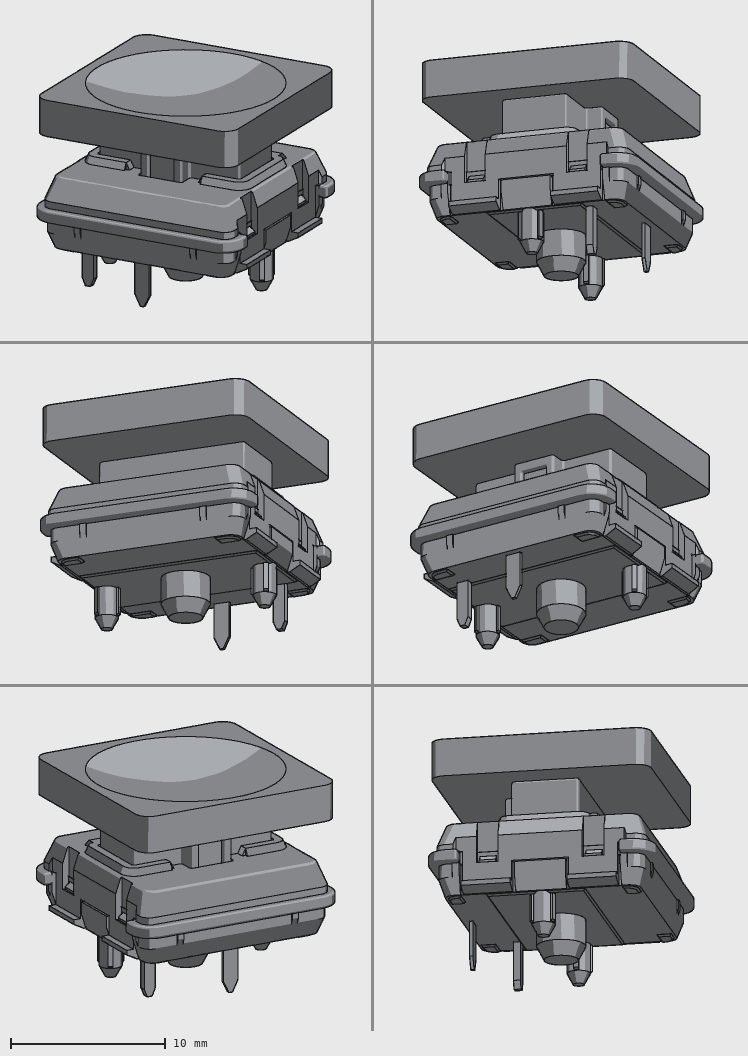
import cadquery as cq


overall = 15.0
edge_round = 0.2
gap = 0.2

flange_top = 0.81
housing_top = 2.85
collar_top = 3.33
keycap_bottom = 5.85
keycap_top = 8.34
housing_bottom = -2.02
foot_bottom = -2.16
pin_tip = -5.16

wall_half = 6.93
wall_corner = 0.75
upper_slope_start = 1.29
upper_top_half = 6.39
lower_slope_start = -0.54
lower_bottom_half = 6.45

skirt_face = 6.76
skirt_inner = 6.35
skirt_half_width = 5.13
notch_half_width = skirt_half_width + gap
skirt_arch_half = 1.88
tongue_half_width = skirt_arch_half - gap
clip_slot_near = 2.79
clip_slot_far = 4.22
clip_slot_centre = (clip_slot_near + clip_slot_far) / 2

stem_half_x = 5.16
stem_half_y = 2.25
boss_half_x = 1.52
boss_front = -3.42
stem_clearance = 0.1

pin_sizes = [
    (-4.98, -3.88, 0.82, 0.46, -4.62, 0.36),
    (0.0, -5.85, 1.06, 0.22, -4.36, 0.25),
]
pin_root = -1.35


def block(x_min, x_max, y_min, y_max, z_min, z_max):
    """Box given by its limits."""
    size = (x_max - x_min, y_max - y_min, z_max - z_min)
    return cq.Workplane("XY").box(*size, centered=False).translate((x_min, y_min, z_min))


def rounded_block(half_x, half_y, corner, z_min, z_max):
    """Upright block with rounded vertical edges, centred on the Z axis."""
    return (
        cq.Workplane("XY").workplane(offset=z_min).rect(2 * half_x, 2 * half_y)
        .extrude(z_max - z_min).edges("|Z").fillet(corner)
    )


def tapered_block(lower, upper, z_min, z_max):
    """Block between two rounded rectangles, each given as (half x, half y, corner radius)."""
    def outline(half_x, half_y, corner):
        return cq.Sketch().rect(2 * half_x, 2 * half_y).vertices().fillet(corner)

    return (
        cq.Workplane("XY").workplane(offset=z_min).placeSketch(
            outline(*lower),
            outline(*upper).moved(cq.Location(cq.Vector(0, 0, z_max - z_min))),
        ).loft()
    )


def both_x(shape):
    """The shape together with its mirror image in the YZ plane."""
    return shape.union(shape.mirror("YZ"))


def both_y(shape):
    """The shape together with its mirror image in the XZ plane."""
    return shape.union(shape.mirror("XZ"))


def make_keycap():
    half_width = 7.25
    corner = 1.0
    dish_radius = 6.5
    dish_depth = 1.2
    sphere_radius = (dish_radius ** 2 + dish_depth ** 2) / (2 * dish_depth)
    cap = rounded_block(half_width, half_width, corner, keycap_bottom, keycap_top)
    dish = cq.Workplane("XY").sphere(sphere_radius)
    return cap.cut(dish.translate((0, 0, keycap_top - dish_depth + sphere_radius)))


def stem_blank(clearance, z_min, z_max):
    """T-shaped prism of the stem, grown sideways by a clearance."""
    reach_x = stem_half_x + clearance
    reach_y = stem_half_y + clearance
    boss_x = boss_half_x + clearance
    body = block(-reach_x, reach_x, -reach_y, reach_y, z_min, z_max)
    boss = block(-boss_x, boss_x, boss_front - clearance, 0, z_min, z_max)
    return body.union(boss).edges("|Z").fillet(edge_round)


def make_stem():
    window_half = 0.9
    window_top = 5.1
    window_depth = 0.3
    window_corner = 0.06
    window_round = 0.16
    margin = 0.02
    stem = stem_blank(0, flange_top, keycap_bottom).faces(">Z").edges().fillet(edge_round)
    window = block(
        -window_half, window_half, boss_front, boss_front + window_depth, flange_top, window_top
    )
    window = window.edges("|Y and >Z").fillet(window_corner)
    mouth = cq.selectors.BoxSelector(
        (-window_half - margin, boss_front - margin, flange_top + margin),
        (window_half + margin, boss_front + margin, window_top + margin),
    )
    return stem.cut(window).edges(mouth).fillet(window_round)


def make_collar():
    """Sloped rim round the stem opening, open at the front for the boss of the stem."""
    base = (6.08, 3.2, 0.98)
    top = (5.85, 2.95, 0.75)
    opening_base_half = 2.54
    opening_top_half = 2.79
    bulge_half_x = 5.25
    bulge_base_y = 3.98
    bulge_top_y = 3.44
    rim = tapered_block(base, top, housing_top, collar_top)
    sloped_opening = (
        cq.Workplane("XZ").polyline([
            (-opening_base_half, housing_top), (opening_base_half, housing_top),
            (opening_top_half, collar_top), (-opening_top_half, collar_top),
        ]).close().extrude(base[1])
    )
    front_opening = block(
        -opening_top_half, opening_top_half, -base[1], -top[1], housing_top, collar_top
    )
    bulge = (
        cq.Workplane("YZ").polyline([
            (0, housing_top), (bulge_base_y, housing_top), (bulge_top_y, collar_top), (0, collar_top),
        ]).close().extrude(bulge_half_x, both=True)
    )
    return rim.cut(sloped_opening).cut(front_opening).union(bulge)


def make_skirt():
    """Hanging leg pair on the -X side, with the outward snap ledges at its lower end."""
    ledge_top = -1.32
    ledge_reach = 7.26
    ledge_edge = -1.64
    foot_reach = 6.52
    skirt = (
        cq.Workplane("XZ").polyline([
            (-skirt_inner, flange_top), (-skirt_face, flange_top), (-skirt_face, ledge_top),
            (-ledge_reach, ledge_top), (-ledge_reach, ledge_edge),
            (-foot_reach, housing_bottom), (-skirt_inner, housing_bottom),
        ]).close().extrude(skirt_half_width, both=True)
    )
    arch = block(-overall, 0, -skirt_arch_half, skirt_arch_half, housing_bottom, 0)
    return skirt.cut(arch)


def skirt_recess():
    """Flat recess on the -X side, in the plane of the skirt, with 45 degree ends."""
    recess_top = 1.85
    half_width = 5.56
    flare = overall / 2 - skirt_face
    return (
        cq.Workplane("XY").workplane(offset=flange_top).polyline([
            (-skirt_face, -half_width), (-skirt_face, half_width),
            (-skirt_face - flare, half_width + flare), (-skirt_face - flare, -half_width - flare),
        ]).close().extrude(recess_top - flange_top)
    )


def clip_slots():
    """Two upright slots on the -X side that become windows in the skirt."""
    slot_face = 6.32
    above = block(-overall, -slot_face, clip_slot_near, clip_slot_far, flange_top, housing_top)
    window = block(-overall, -skirt_inner, clip_slot_near, clip_slot_far, 0, flange_top)
    return both_y(above.union(window))


def make_upper_housing():
    straight = (wall_half, wall_half, wall_corner)
    top = (upper_top_half, upper_top_half, wall_corner)
    walls = rounded_block(*straight, flange_top, upper_slope_start)
    roof = tapered_block(straight, top, upper_slope_start, housing_top)
    roof = roof.faces(">Z").edges().fillet(edge_round)
    housing = walls.union(roof).cut(both_x(skirt_recess()))
    housing = housing.union(both_x(make_skirt())).cut(both_x(clip_slots()))
    housing = housing.union(make_collar())
    return housing.cut(stem_blank(stem_clearance, flange_top, collar_top))


def make_flange():
    """Rounded plate round the housing, interrupted where the skirts pass."""
    half = overall / 2
    corner = 1.5
    rim_round = 0.15
    flange = rounded_block(half, half, corner, 0, flange_top)
    passage = block(-overall, -skirt_face, -notch_half_width, notch_half_width, 0, flange_top)
    flange = flange.cut(both_x(passage))
    flange = flange.edges("|Z and (<X or >X)").fillet(edge_round)
    return flange.faces("<Z or >Z").edges().fillet(rim_round)


def panel_recess():
    """Shallow recess round the walls under the flange, leaving plain ribs and skirt borders."""
    depth = 0.12
    rib_centre = 4.25
    rib_width = 0.45
    border_half = 5.79
    slope = (wall_half - lower_bottom_half) / (lower_slope_start - housing_bottom)
    recess_bottom = lower_slope_start - depth / slope
    inner_half = wall_half - depth
    ring = block(-overall, overall, -overall, overall, recess_bottom, 0).cut(
        rounded_block(inner_half, inner_half, wall_corner, recess_bottom, 0)
    )
    rib = block(
        rib_centre - rib_width / 2, rib_centre + rib_width / 2, -overall, overall, recess_bottom, 0
    )
    border = block(-overall, overall, -border_half, border_half, recess_bottom, 0)
    return ring.cut(both_x(rib)).cut(border)


def side_notch():
    """Space on the -X side for the skirt, with the tongue of the lower housing left standing."""
    shoulder_face = 6.6
    tongue_face = 6.81
    lower = block(-overall, -skirt_inner, -notch_half_width, notch_half_width, housing_bottom, 0)
    upper = block(-overall, -skirt_inner, -skirt_half_width, skirt_half_width, 0, flange_top)
    shoulder = block(-overall, -shoulder_face, -notch_half_width, notch_half_width, 0, flange_top)
    tongue = block(
        -tongue_face, -skirt_inner, -tongue_half_width, tongue_half_width, housing_bottom, -gap / 2
    )
    return lower.union(upper).union(shoulder).cut(tongue)


def make_hooks():
    """Snap hooks on the -X side that fill the skirt windows."""
    hook_width = 1.08
    slope_top = 0.51
    slope_bottom = 0.18
    hook_foot = 0.03
    reach = skirt_inner + slope_top - slope_bottom
    hook = (
        cq.Workplane("XZ").polyline([
            (-skirt_inner, slope_top), (-reach, slope_bottom), (-reach, hook_foot), (-skirt_inner, hook_foot),
        ]).close().extrude(hook_width / 2, both=True)
    )
    return both_y(hook.translate((0, clip_slot_centre, 0)))


def make_feet():
    """Low bevelled pads under the housing: a wide middle pad and four corner pads."""
    bevel = 0.12
    middle_back = 2.88
    middle_front = -3.66
    far = 6.28
    near_x = 4.8
    near_y = notch_half_width
    middle = block(-far, far, middle_front, middle_back, foot_bottom, housing_bottom)
    corner = block(near_x, far, near_y, far, foot_bottom, housing_bottom)
    corner = corner.edges("|Z and >X and >Y").fillet(wall_corner)
    corners = both_x(both_y(corner))
    return middle.union(corners).faces("<Z").edges().chamfer(bevel)


def post(radius, x, end, tip_radius):
    """Round locating post with a conical tip."""
    tip_end = -4.86
    return (
        cq.Workplane("XZ").polyline([
            (0, housing_bottom), (radius, housing_bottom), (radius, end), (tip_radius, tip_end), (0, tip_end),
        ]).close().revolve(360, (0, 0, 0), (0, 1, 0)).translate((x, 0, 0))
    )


def make_posts():
    centre_diameter = 3.2
    centre_end = -3.93
    centre_tip_radius = 1.11
    side_x = 5.58
    side_radius = 0.76
    side_end = -4.11
    side_tip_radius = 0.36
    rib_reach = 0.88
    rib_width = 0.33
    rib_bevel = 0.18
    side = post(side_radius, 0, side_end, side_tip_radius)
    rib = block(0, rib_reach, -rib_width / 2, rib_width / 2, side_end, housing_bottom)
    rib = rib.edges(">X and <Z").chamfer(rib_bevel)
    for angle in (60, 180, 300):
        side = side.union(rib.rotate((0, 0, 0), (0, 0, 1), angle))
    sides = both_x(side.translate((side_x, 0, 0)))
    return sides.union(post(centre_diameter / 2, 0, centre_end, centre_tip_radius))


def make_lower_housing(pins):
    straight = (wall_half, wall_half, wall_corner)
    bottom = (lower_bottom_half, lower_bottom_half, wall_corner)
    walls = rounded_block(*straight, lower_slope_start, flange_top)
    base = tapered_block(bottom, straight, housing_bottom, lower_slope_start)
    housing = walls.union(base).cut(panel_recess()).union(make_flange())
    housing = housing.cut(both_x(side_notch())).union(both_x(make_hooks()))
    housing = housing.union(make_feet()).union(make_posts())
    for pin in pins:
        housing = housing.cut(pin)
    return housing


def make_pin(x, y, width, thickness, point_start, tip_width):
    """Flat blade with a tapered point."""
    return (
        cq.Workplane("XZ").polyline([
            (-width / 2, pin_root), (width / 2, pin_root), (width / 2, point_start),
            (tip_width / 2, pin_tip), (-tip_width / 2, pin_tip), (-width / 2, point_start),
        ]).close().extrude(thickness / 2, both=True).translate((x, y, 0))
    )


keycap = make_keycap()
stem = make_stem()
upper_housing = make_upper_housing()
pins = [make_pin(*sizes) for sizes in pin_sizes]
lower_housing = make_lower_housing(pins)

result = cq.Compound.makeCompound([
    keycap.val(), stem.val(), upper_housing.val(), lower_housing.val(), *[pin.val() for pin in pins],
])